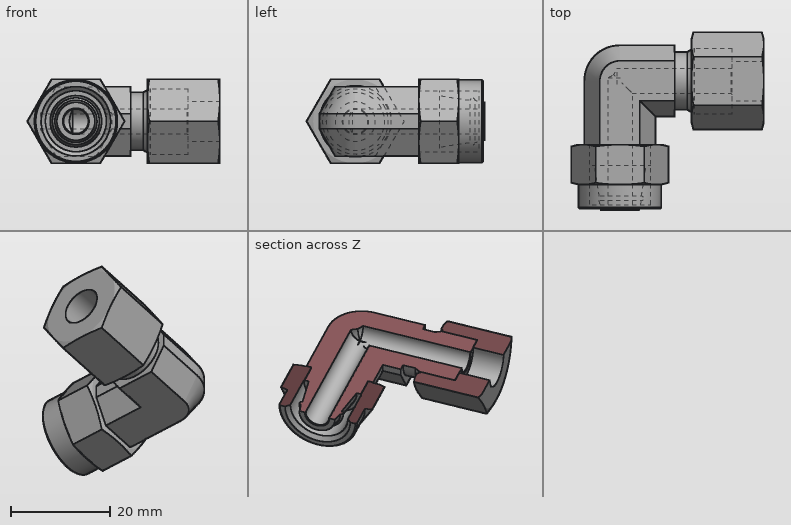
import cadquery as cq
import math

wrench_size = 17.0
chamfer_circle_radius = 8.45
hex_chamfer_angle = math.radians(15)
edge_overrun = 1.0

elbow_height = 14.0
elbow_width = 14.4
arm_x_end = 11.05
arm_y_end = 12.85

neck_radius = 5.87
side_thread_radius = 6.6
neck_cone_start = 13.6
neck_cone_angle = math.radians(30)
neck_cone_end = neck_cone_start + (side_thread_radius - neck_radius) / math.tan(neck_cone_angle)
side_stub_end = 22.5

front_thread_radius = 6.15
front_stub_end = 17.0
insert_root_radius = 5.2
insert_waist_radius = 4.26
bead_radius = 0.47
insert_tip_radius = 3.83
insert_tip_length = 2.0
insert_end = 26.1

bore_radius = 2.5
bore_mouth_chamfer = 0.15
bore_overshoot = 0.6
drill_point_length = bore_radius / math.tan(math.radians(59))

side_nut_start = 14.43
side_nut_end = 29.0
side_nut_mouth_radius = 7.2
side_nut_mouth_depth = side_nut_mouth_radius - side_thread_radius
tube_hole_radius = 4.0

front_hex_end = 20.9
collar_radius = 8.38
collar_end = 25.8
collar_chamfer_width = 0.3
collar_chamfer_length = 0.3
front_nut_mouth_radius = 7.0
front_nut_mouth_depth = front_nut_mouth_radius - front_thread_radius


def turned(outline):
    """Solid of revolution about +X from a closed (distance along axis, radius) outline."""
    return outline.close().revolve(360, (0, 0, 0), (1, 0, 0))


def turned_points(points):
    return turned(cq.Workplane("XY").polyline(points))


def aim_front(body):
    """Swing a body built along +X so that it points along -Y."""
    return body.rotate((0, 0, 0), (0, 0, 1), -90)


def chamfered_hex(start, end):
    """Hexagonal bar along +X with flats at top and bottom and conical corner chamfers."""
    corner_radius = wrench_size / math.sqrt(3)
    trim_radius = corner_radius + edge_overrun
    chamfer_length = (trim_radius - chamfer_circle_radius) * math.tan(hex_chamfer_angle)
    bar = (
        cq.Workplane("YZ")
        .workplane(offset=start)
        .polygon(6, 2 * corner_radius)
        .extrude(end - start)
    )
    envelope = turned_points([
        (start, 0),
        (start, chamfer_circle_radius),
        (start + chamfer_length, trim_radius),
        (end - chamfer_length, trim_radius),
        (end, chamfer_circle_radius),
        (end, 0),
    ])
    return bar.intersect(envelope)


half_height = elbow_height / 2
half_width = elbow_width / 2
flat_half_width = half_height / math.sqrt(3)
side_flat_half_height = elbow_height - half_width * math.sqrt(3)


def arm(length):
    right_side = [
        (flat_half_width, -half_height),
        (half_width, -side_flat_half_height),
        (half_width, side_flat_half_height),
        (flat_half_width, half_height),
    ]
    left_side = [(-y, -z) for y, z in right_side]
    return cq.Workplane("YZ").polyline(right_side + left_side).close().extrude(length)


def outer_bend():
    """Half of the arm section swept a quarter turn about Z, around the outside of the corner."""
    return (
        cq.Workplane("XZ")
        .polyline([
            (0, -half_height),
            (-flat_half_width, -half_height),
            (-half_width, -side_flat_half_height),
            (-half_width, side_flat_half_height),
            (-flat_half_width, half_height),
            (0, half_height),
        ])
        .close()
        .revolve(90, (0, 0, 0), (0, -1, 0))
    )


def side_stub():
    return turned_points([
        (0, 0),
        (0, neck_radius),
        (neck_cone_start, neck_radius),
        (neck_cone_end, side_thread_radius),
        (side_stub_end, side_thread_radius),
        (side_stub_end, 0),
    ])


def front_stub():
    """Threaded stub, then a hose insert that tapers to a half-round bead and a conical tip."""
    bead_front = insert_end - insert_tip_length
    outline = (
        cq.Workplane("XY")
        .moveTo(0, 0)
        .lineTo(0, front_thread_radius)
        .lineTo(front_stub_end, front_thread_radius)
        .lineTo(front_stub_end, insert_root_radius)
        .lineTo(bead_front - 2 * bead_radius, insert_waist_radius)
        .threePointArc(
            (bead_front - bead_radius, insert_waist_radius + bead_radius),
            (bead_front, insert_waist_radius),
        )
        .lineTo(insert_end, insert_tip_radius)
        .lineTo(insert_end, 0)
    )
    return turned(outline)


def drilled_bore(end):
    """Drill from the end of a stub to just past the crossing point, with its conical point."""
    return turned_points([
        (-bore_overshoot - drill_point_length, 0),
        (-bore_overshoot, bore_radius),
        (end - bore_mouth_chamfer, bore_radius),
        (end, bore_radius + bore_mouth_chamfer),
        (end, 0),
    ])


elbow = (
    arm(arm_x_end)
    .union(aim_front(arm(arm_y_end)))
    .union(outer_bend())
    .union(side_stub())
    .union(aim_front(front_stub()))
    .cut(drilled_bore(side_stub_end))
    .cut(aim_front(drilled_bore(insert_end)))
)


def make_side_nut():
    cavity = turned_points([
        (side_nut_start, 0),
        (side_nut_start, side_nut_mouth_radius),
        (side_nut_start + side_nut_mouth_depth, side_thread_radius),
        (side_stub_end, side_thread_radius),
        (side_stub_end, tube_hole_radius),
        (side_nut_end, tube_hole_radius),
        (side_nut_end, 0),
    ])
    return chamfered_hex(side_nut_start, side_nut_end).cut(cavity)


def make_front_nut():
    collar = turned_points([
        (arm_y_end, 0),
        (arm_y_end, collar_radius),
        (collar_end - collar_chamfer_length, collar_radius),
        (collar_end, collar_radius - collar_chamfer_width),
        (collar_end, 0),
    ])
    bore = turned_points([
        (arm_y_end, 0),
        (arm_y_end, front_thread_radius),
        (collar_end - front_nut_mouth_depth, front_thread_radius),
        (collar_end, front_nut_mouth_radius),
        (collar_end, 0),
    ])
    return aim_front(chamfered_hex(arm_y_end, front_hex_end).union(collar).cut(bore))


side_nut = make_side_nut()
front_nut = make_front_nut()

result = cq.Compound.makeCompound([elbow.val(), side_nut.val(), front_nut.val()])